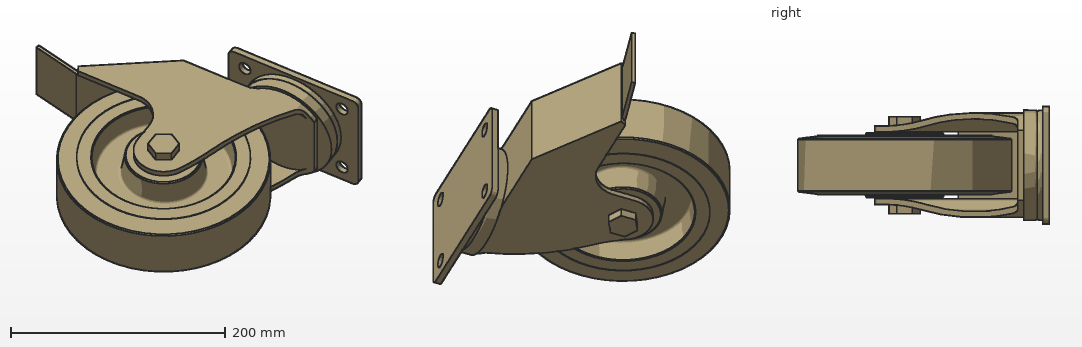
import cadquery as cq
import math


overall_length = 309.0
overall_height = 235.0

wheel_diameter = 200.0
wheel_radius = wheel_diameter / 2
tyre_half_width = 25.0
tyre_edge_radius = 1.2
rim_radius = 81.3
tyre_inner_half_width = 27.2
rim_half_width = 27.8
rim_bore_radius = 68.0
rim_edge_radius = 1.0
rim_base_radius = 64.3
disc_half_width = 6.8
disc_fillet = 3.0
hub_base_radius = 39.5
hub_end_radius = 36.5
hub_half_width = 30.3
hub_edge_radius = 1.2
axle_diameter = 20.0
axle_radius = axle_diameter / 2

plate_length = 140.5
plate_width = 110.0
plate_thickness = 6.2
plate_corner_radius = 6.8
plate_top = overall_height - wheel_radius
swivel_offset = 65.2
slot_width = 12.0
slot_length = 13.5
slot_spacing_x = 105.0
slot_spacing_z = 77.2
head_radius = 51.5
groove_depth = 1.2
groove_start = 2.0
groove_valley = 5.3
groove_end = 7.5

sheet = 5.5
fork_top = 111.2
leg_outer = 36.8
leg_end_radius = 28.0
bend_start = 22.0
fork_curve_radius = 48.8
fork_front = 101.5
fork_underside = fork_top - sheet
front_edge_corner = (86.5, fork_underside)
front_corner_radius = 9.3
rear_top_x = -43.3
rear_tip = (-124.5, 55.0)
rear_bottom = (-121.5, 49.5)
rear_corner_radius = 28.0

web_foot_end_x = -119.5
web_underside_top_x = -42.3
pedal_joint = (-123.5, 50.0)
pedal_tip_y = 61.5
pedal_thickness = 3.7

hex_across_flats = 25.3
bolt_half_length = 45.5

leg_inner = leg_outer - sheet
plate_bottom = plate_top - plate_thickness
pedal_tip_x = swivel_offset + plate_length / 2 - overall_length


def slab(outline, half_width):
    """Extrude a closed XY outline evenly to both sides of the XY plane."""
    return outline.extrude(half_width, both=True)


def make_wheel():
    """Wheel with a thin disc between the rim and a tapered hub."""
    half = (
        cq.Workplane("XY")
        .moveTo(0, 0)
        .lineTo(wheel_radius, 0)
        .lineTo(wheel_radius, tyre_half_width - tyre_edge_radius)
        .lineTo(wheel_radius - tyre_edge_radius, tyre_half_width)
        .lineTo(rim_radius, tyre_inner_half_width)
        .lineTo(rim_radius, rim_half_width)
        .lineTo(rim_bore_radius, rim_half_width)
        .lineTo(rim_bore_radius - rim_edge_radius, rim_half_width - rim_edge_radius)
        .lineTo(rim_base_radius, disc_half_width + disc_fillet)
        .radiusArc((rim_base_radius - disc_fillet, disc_half_width), disc_fillet)
        .lineTo(hub_base_radius + disc_fillet, disc_half_width)
        .radiusArc((hub_base_radius, disc_half_width + disc_fillet), disc_fillet)
        .lineTo(hub_end_radius, hub_half_width - hub_edge_radius)
        .lineTo(hub_end_radius - hub_edge_radius, hub_half_width)
        .lineTo(0, hub_half_width)
        .close()
        .revolve(360, (0, 0), (0, 1))
        .rotate((0, 0, 0), (1, 0, 0), 90)
    )
    return half.union(half.mirror("XY"))


def make_axle_bolt():
    """Shank through hub and legs with a hexagon outside each leg."""
    hexagon = cq.Workplane("XY").polygon(6, hex_across_flats / math.cos(math.pi / 6))
    ends = slab(hexagon, bolt_half_length).rotate((0, 0, 0), (0, 0, 1), 30)
    gap = slab(cq.Workplane("XY").circle(hex_across_flats), leg_inner)
    shank = slab(cq.Workplane("XY").circle(axle_radius), leg_outer)
    return ends.cut(gap).union(shank)


def make_plate():
    """Rounded rectangular plate with four slotted bolt holes."""
    return (
        cq.Workplane("XZ", origin=(swivel_offset, plate_top, 0))
        .rect(plate_length, plate_width)
        .extrude(plate_thickness)
        .edges("|Y")
        .fillet(plate_corner_radius)
        .faces(">Y")
        .workplane(origin=(swivel_offset, plate_top, 0))
        .rarray(slot_spacing_x, slot_spacing_z, 2, 2)
        .slot2D(slot_length, slot_width, 90)
        .cutThruAll()
    )


def tangent_radius(length, depth):
    """Radius of an arc that leaves a straight line smoothly and drops by depth over length."""
    return (length**2 + depth**2) / (2 * depth)


def make_swivel_head():
    """Round swivel bearing between the plate and the fork."""
    lower_round = tangent_radius(groove_end - groove_valley, groove_depth)
    upper_round = tangent_radius(groove_valley - groove_start, groove_depth)
    return (
        cq.Workplane("XY", origin=(swivel_offset, 0, 0))
        .moveTo(0, fork_top)
        .lineTo(head_radius, fork_top)
        .lineTo(head_radius, plate_bottom - groove_end)
        .radiusArc((head_radius - groove_depth, plate_bottom - groove_valley), -lower_round)
        .radiusArc((head_radius, plate_bottom - groove_start), -upper_round)
        .lineTo(head_radius, plate_bottom)
        .lineTo(0, plate_bottom)
        .close()
        .revolve(360, (0, 0), (0, 1))
    )


def fork_section(inset, top):
    """Block below top with the fork's XZ outline, pulled in by inset.

    The flat legs bend outward and flow into the round front.
    """
    leg = leg_outer - inset
    curve = fork_curve_radius - inset

    run = swivel_offset - bend_start
    bend_radius = (run**2 + leg_outer**2 - fork_curve_radius**2) / (
        2 * (fork_curve_radius - leg_outer)
    )
    bend_centre_z = leg_outer + bend_radius
    angle = math.atan2(run, bend_centre_z)
    tangent = (swivel_offset - curve * math.sin(angle), curve * math.cos(angle))
    bend_middle = (
        bend_start + (bend_radius + inset) * math.sin(angle / 2),
        bend_centre_z - (bend_radius + inset) * math.cos(angle / 2),
    )
    end_z = math.sqrt(curve**2 - (fork_front - swivel_offset) ** 2)

    return (
        cq.Workplane("XZ", origin=(0, top, 0))
        .moveTo(pedal_tip_x, -leg)
        .lineTo(pedal_tip_x, leg)
        .lineTo(bend_start, leg)
        .threePointArc(bend_middle, tangent)
        .threePointArc((swivel_offset, curve), (fork_front, end_z))
        .lineTo(fork_front, -end_z)
        .threePointArc((swivel_offset, -curve), (tangent[0], -tangent[1]))
        .threePointArc((bend_middle[0], -bend_middle[1]), (bend_start, -leg))
        .close()
        .extrude(top + wheel_radius)
    )


def make_fork():
    """Flat top and two legs, cut to the fork's side outline."""
    corner_x, corner_y = front_edge_corner
    tangent_angle = math.atan2(corner_y, corner_x) - math.acos(
        leg_end_radius / math.hypot(corner_x, corner_y)
    )
    leg_front = (
        leg_end_radius * math.cos(tangent_angle),
        leg_end_radius * math.sin(tangent_angle),
    )
    side_outline = (
        cq.Workplane("XY")
        .moveTo(rear_top_x, fork_top)
        .lineTo(fork_front, fork_top)
        .lineTo(fork_front, fork_underside)
        .lineTo(*front_edge_corner)
        .lineTo(*leg_front)
        .threePointArc((0, -leg_end_radius), (-leg_end_radius, 0))
        .lineTo(-leg_end_radius, rear_bottom[1] - rear_corner_radius)
        .radiusArc((-leg_end_radius - rear_corner_radius, rear_bottom[1]), -rear_corner_radius)
        .lineTo(*rear_bottom)
        .lineTo(*rear_tip)
        .close()
    )
    side = (
        slab(side_outline, plate_width / 2)
        .edges(cq.selectors.NearestToPointSelector((*front_edge_corner, 0)))
        .fillet(front_corner_radius)
    )
    cavity = fork_section(sheet, fork_underside)
    return side.intersect(fork_section(0, fork_top)).cut(cavity)


def make_brake():
    """Sloped web closing the rear of the fork, bent out into the pedal."""
    rear_slope = (fork_top - rear_tip[1]) / (rear_top_x - rear_tip[0])
    underside_top = (web_underside_top_x, fork_underside)
    web_foot_y = underside_top[1] - rear_slope * (web_underside_top_x - web_foot_end_x)
    web = (
        cq.Workplane("XY")
        .moveTo(rear_top_x, fork_top)
        .lineTo(*rear_tip)
        .lineTo(*pedal_joint)
        .lineTo(web_foot_end_x, web_foot_y)
        .lineTo(*underside_top)
        .lineTo(web_underside_top_x, fork_top)
        .close()
    )

    run = pedal_joint[0] - pedal_tip_x
    rise = pedal_tip_y - pedal_joint[1]
    length = math.hypot(run, rise)
    across = (rise / length * pedal_thickness, run / length * pedal_thickness)
    pedal = (
        cq.Workplane("XY")
        .moveTo(*pedal_joint)
        .lineTo(pedal_tip_x, pedal_tip_y)
        .line(*across)
        .line(run, -rise)
        .close()
    )
    return slab(web, leg_inner).union(slab(pedal, leg_inner))


result = (
    make_plate()
    .union(make_swivel_head())
    .union(make_fork())
    .union(make_brake())
    .union(make_wheel())
    .union(make_axle_bolt())
)